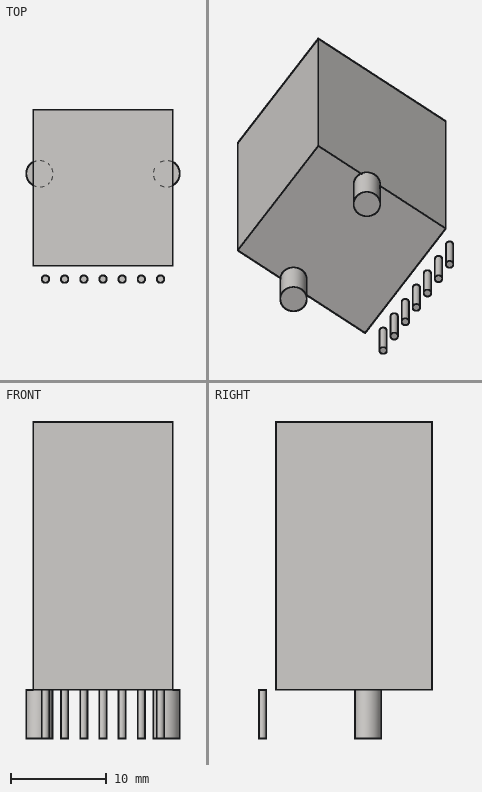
import cadquery as cq

block_width = 14.6
block_depth = 16.32
total_height = 33.1
leg_length = 5.1

post_diameter = 2.78
post_spacing = 13.27
post_setback = 9.63

pin_diameter = 0.8
pin_count = 7
pin_row_span = 12.0
pin_pitch = pin_row_span / (pin_count - 1)
pin_gap = 1.4


def make_block():
    """Plain rectangular block, its front face on Y = 0 and its underside on Z = 0."""
    return cq.Workplane("XY").box(
        block_width, block_depth, total_height - leg_length, centered=(True, False, False)
    )


def make_leg(diameter, x, y):
    """Round leg that hangs down from the level of the block's underside."""
    return cq.Workplane("XY").center(x, y).circle(diameter / 2).extrude(-leg_length)


block = make_block()

posts = [make_leg(post_diameter, side * post_spacing / 2, post_setback) for side in (-1, 1)]

first_pin_x = -pin_row_span / 2
pins = [make_leg(pin_diameter, first_pin_x + i * pin_pitch, -pin_gap) for i in range(pin_count)]

bodies = [block, *posts, *pins]
result = cq.Compound.makeCompound([body.val() for body in bodies])